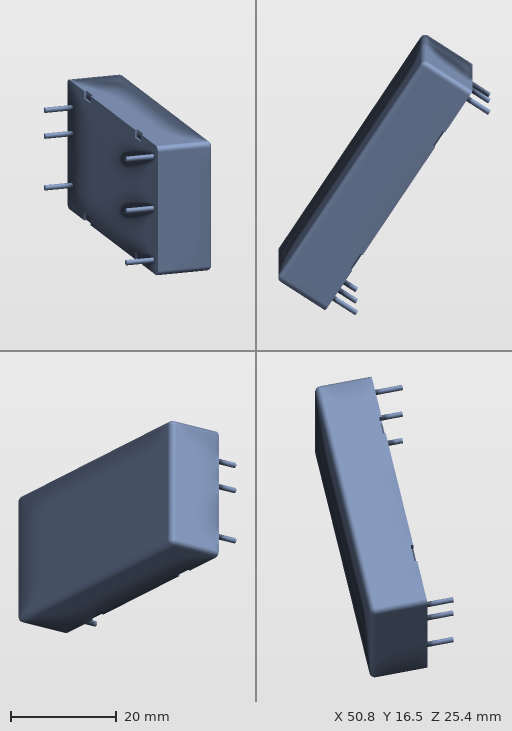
import cadquery as cq

length = 50.8
height = 25.4
total_depth = 16.5
pin_length = 5.5
case_depth = total_depth - pin_length
edge_radius = 1.0

pin_diameter = 1.0
pin_column_x = 22.85
left_pin_heights = (7.6, 2.55, -7.6)
right_pin_heights = (10.15, 0.0, -10.15)

notch_width = 3.55
notch_height = 1.45
notch_depth = 0.5
notch_center_x = 14.2

base_y = -case_depth / 2


def make_case():
    """Box with rounded sides and back, and a sharp-edged base."""
    box = cq.Workplane("XY").box(length, case_depth, height)
    return box.edges("|Y").fillet(edge_radius).faces(">Y").edges().fillet(edge_radius)


def make_notch(x, side):
    """Cutter open to the base and to the top (side 1) or bottom (side -1)."""
    center = (x, base_y + notch_depth / 2, side * (height - notch_height) / 2)
    return cq.Workplane("XY").box(notch_width, notch_depth, notch_height).translate(center)


def make_pin(x, z):
    """Round pin projecting toward -Y from the base."""
    base = cq.Workplane("XZ", origin=(x, base_y, z))
    return base.circle(pin_diameter / 2).extrude(pin_length)


result = make_case()

for notch_x in (-notch_center_x, notch_center_x):
    for notch_side in (-1, 1):
        result = result.cut(make_notch(notch_x, notch_side))

for column_x, pin_heights in ((-pin_column_x, left_pin_heights), (pin_column_x, right_pin_heights)):
    for pin_z in pin_heights:
        result = result.union(make_pin(column_x, pin_z))